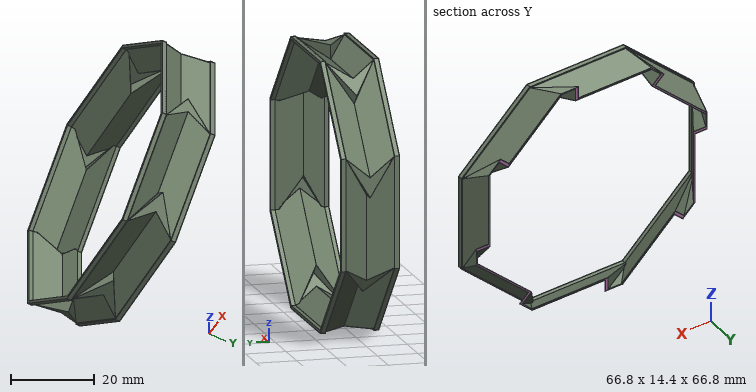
import cadquery as cq
import math

SIDES = 8
OVERALL_SIZE = 66.78
OVERALL_WIDTH = 14.4
RIM_WIDTH = 1.2
RIM_THICKNESS = 0.7

SHEET_INSET = 0.29
SHEET_THICKNESS = 0.425
END_WALL_THICKNESS = 0.45
GROOVE_ANGLE = 30.0
GROOVE_TIP = 3.85

side_angle = 360 / SIDES
rim_apothem = OVERALL_SIZE / 2
rim_inner_apothem = rim_apothem - RIM_THICKNESS
sheet_apothem = rim_apothem - SHEET_INSET
sheet_width = OVERALL_WIDTH - 2 * RIM_WIDTH
half_side = sheet_apothem * math.tan(math.radians(side_angle / 2))

groove_slope = math.tan(math.radians(GROOVE_ANGLE))
groove_floor = sheet_apothem - sheet_width / 2 * groove_slope
ridge_apothem = groove_floor - SHEET_THICKNESS / math.cos(math.radians(GROOVE_ANGLE))

end_angle = math.atan2(sheet_width / 2, half_side - GROOVE_TIP)
ridge_tip = GROOVE_TIP + END_WALL_THICKNESS / math.sin(end_angle)


def octagon(apothem, width):
    """Octagonal prism about the Y axis, with flat sides facing X and Z."""
    diameter = 2 * apothem / math.cos(math.radians(side_angle / 2))
    return (
        cq.Workplane("XZ")
        .transformed(rotate=(0, 0, side_angle / 2))
        .polygon(SIDES, diameter)
        .extrude(width / 2, both=True)
    )


def v_prism(floor, tip, width):
    """Upward-opening V along X over the top side, notched by an arrow at its +X end."""
    start = -2 * half_side
    tail = tip + width / 2 / math.tan(end_angle)
    top = floor + width / 2 * groove_slope
    profile = [(0, floor), (width / 2, top), (-width / 2, top)]
    plan = [
        (start, -width / 2),
        (tail, -width / 2),
        (tip, 0),
        (tail, width / 2),
        (start, width / 2),
    ]
    v_bar = (
        cq.Workplane("YZ", origin=(start, 0, 0))
        .polyline(profile)
        .close()
        .extrude(tail - start)
    )
    arrow = cq.Workplane("XY").polyline(plan).close().extrude(top)
    return v_bar.intersect(arrow)


def cut_every_side(body, tool):
    for side in range(SIDES):
        body = body.cut(tool.rotate((0, 0, 0), (0, 1, 0), side * side_angle))
    return body


def grooved_blank():
    """Solid octagon, recessed between the rims and grooved along every side."""
    rims = octagon(rim_apothem, OVERALL_WIDTH).cut(octagon(rim_apothem, sheet_width))
    core = octagon(sheet_apothem, sheet_width)
    groove = v_prism(groove_floor, GROOVE_TIP, sheet_width)
    return rims.union(cut_every_side(core, groove))


def cavity():
    """Inside space: an octagon less the ridges that back the grooves."""
    ridge = v_prism(ridge_apothem, ridge_tip, OVERALL_WIDTH)
    return cut_every_side(octagon(rim_inner_apothem, OVERALL_WIDTH), ridge)


result = grooved_blank().cut(cavity())